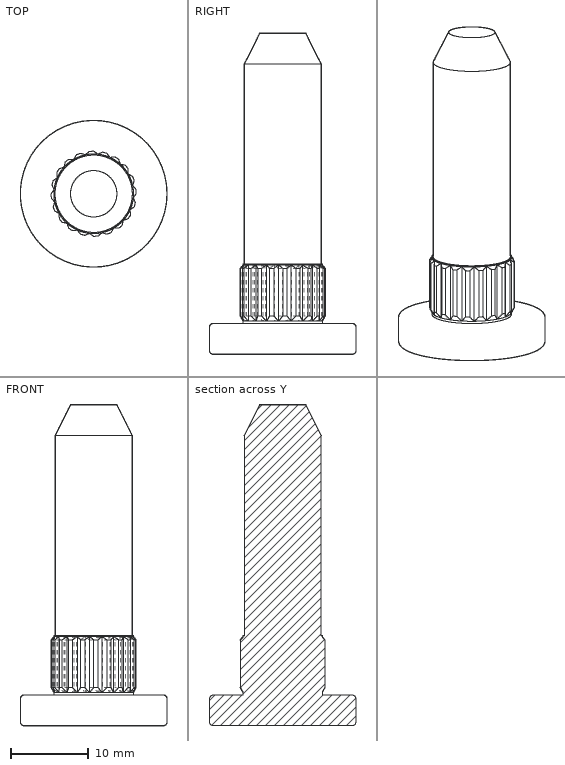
import cadquery as cq
import math

HEAD_DIAMETER = 19.0
HEAD_HEIGHT = 4.0
HEAD_EDGE_RADIUS = 0.5

TOTAL_LENGTH = 41.51
SHANK_RADIUS = 5.0
LEAD_IN_LENGTH = 4.0
LEAD_IN_END_RADIUS = 3.0

SPLINE_COUNT = 20
SPLINE_PITCH = 360.0 / SPLINE_COUNT
SPLINE_PHASE = 3.0
SPLINE_TIP_RADIUS = 5.5
SPLINE_ROOT_RADIUS = 5.15
SPLINE_TIP_WIDTH = 0.57
NECK_HEIGHT = 0.3
UPPER_RIM_HEIGHT = 0.12
LOWER_TAPER_HEIGHT = 0.65
UPPER_TAPER_HEIGHT = 0.43
COLLAR_LENGTH = 7.65

TEETH_BOTTOM_Z = HEAD_HEIGHT + NECK_HEIGHT
COLLAR_TOP_Z = HEAD_HEIGHT + COLLAR_LENGTH
TEETH_TOP_Z = COLLAR_TOP_Z - UPPER_RIM_HEIGHT


def polar_point(radius, degrees):
    angle = math.radians(degrees)
    return (radius * math.cos(angle), radius * math.sin(angle))


def make_head():
    disc = cq.Workplane("XY").circle(HEAD_DIAMETER / 2).extrude(HEAD_HEIGHT)
    return disc.edges().fillet(HEAD_EDGE_RADIUS)


def make_shank():
    """Pin running from the base of the head to the tip of the lead-in cone."""
    half_profile = [
        (0, 0),
        (SHANK_RADIUS, 0),
        (SHANK_RADIUS, TOTAL_LENGTH - LEAD_IN_LENGTH),
        (LEAD_IN_END_RADIUS, TOTAL_LENGTH),
        (0, TOTAL_LENGTH),
    ]
    return cq.Workplane("XZ").polyline(half_profile).close().revolve(360, (0, 0), (0, 1))


def make_collar_envelope():
    """Turned shape of the collar: neck, lower taper, tip cylinder, upper taper, rim."""
    half_profile = [
        (0, HEAD_HEIGHT),
        (SPLINE_ROOT_RADIUS, HEAD_HEIGHT),
        (SPLINE_ROOT_RADIUS, TEETH_BOTTOM_Z),
        (SPLINE_TIP_RADIUS, TEETH_BOTTOM_Z + LOWER_TAPER_HEIGHT),
        (SPLINE_TIP_RADIUS, TEETH_TOP_Z - UPPER_TAPER_HEIGHT),
        (SPLINE_ROOT_RADIUS, TEETH_TOP_Z),
        (SPLINE_ROOT_RADIUS, COLLAR_TOP_Z),
        (0, COLLAR_TOP_Z),
    ]
    return cq.Workplane("XZ").polyline(half_profile).close().revolve(360, (0, 0), (0, 1))


def make_teeth_ring():
    """Toothed prism: V-shaped roots between teeth with narrow tip lands."""
    half_tip_angle = math.degrees(math.asin(SPLINE_TIP_WIDTH / 2 / SPLINE_TIP_RADIUS))
    first_root = polar_point(SPLINE_ROOT_RADIUS, SPLINE_PHASE - SPLINE_PITCH / 2)
    outline = cq.Workplane("XY", origin=(0, 0, HEAD_HEIGHT)).moveTo(*first_root)
    for index in range(SPLINE_COUNT):
        tooth_angle = SPLINE_PHASE + index * SPLINE_PITCH
        outline = outline.lineTo(*polar_point(SPLINE_TIP_RADIUS, tooth_angle - half_tip_angle))
        outline = outline.threePointArc(
            polar_point(SPLINE_TIP_RADIUS, tooth_angle),
            polar_point(SPLINE_TIP_RADIUS, tooth_angle + half_tip_angle),
        )
        if index < SPLINE_COUNT - 1:
            outline = outline.lineTo(*polar_point(SPLINE_ROOT_RADIUS, tooth_angle + SPLINE_PITCH / 2))
    return outline.close().extrude(COLLAR_LENGTH)


def make_collar_core():
    """Root cylinder that forms the neck below the teeth and the rim above them."""
    return cq.Workplane("XY", origin=(0, 0, HEAD_HEIGHT)).circle(SPLINE_ROOT_RADIUS).extrude(COLLAR_LENGTH)


collar = make_collar_envelope().intersect(make_teeth_ring()).union(make_collar_core())
result = make_head().union(make_shank()).union(collar)